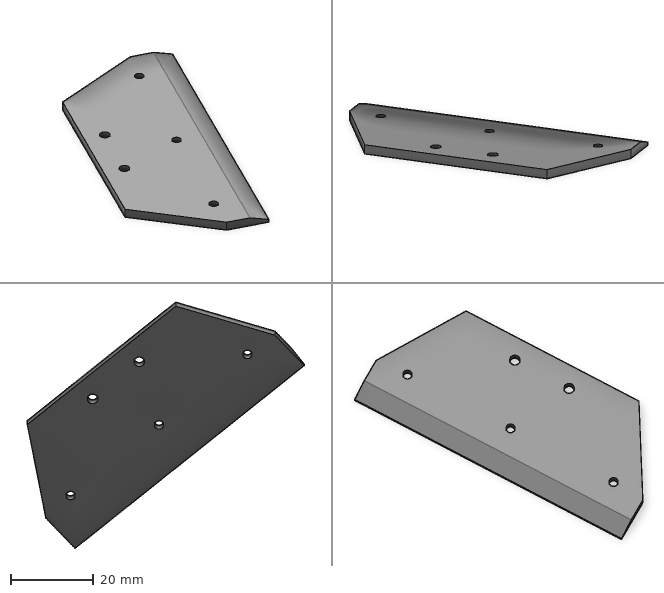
import cadquery as cq

length = 74.0
width = 32.5
thickness = 2.4

front_edge_length = 47.95
corner_cut_depth = 21.7

bevel_width = 4.9
edge_thickness = 0.8

rear_hole_diameter = 2.2
rear_hole_spacing = 28.6
rear_row_offset = 21.2
front_hole_diameter = 2.5
front_hole_spacing = 15.0
front_row_offset = 5.3

front_y = -width / 2
rear_y = width / 2


def make_plate():
    """Flat plate, symmetric about X = 0, tapering toward the front edge."""
    shoulder_y = front_y + corner_cut_depth
    outline = [
        (-front_edge_length / 2, front_y),
        (front_edge_length / 2, front_y),
        (length / 2, shoulder_y),
        (length / 2, rear_y),
        (-length / 2, rear_y),
        (-length / 2, shoulder_y),
    ]
    return cq.Workplane("XY").polyline(outline).close().extrude(thickness)


def make_bevel_cutter():
    """Triangular wedge that slopes the top face down to the rear edge."""
    profile = [
        (rear_y - bevel_width, thickness),
        (rear_y, thickness),
        (rear_y, edge_thickness),
    ]
    return cq.Workplane("YZ").polyline(profile).close().extrude(length / 2, both=True)


def drill_row(plate, count, spacing, row_offset, diameter):
    """Drill a centred row of through holes parallel to the front edge."""
    first_x = -spacing * (count - 1) / 2
    row_y = front_y + row_offset
    centres = [(first_x + i * spacing, row_y) for i in range(count)]
    drills = cq.Workplane("XY").pushPoints(centres).circle(diameter / 2).extrude(thickness)
    return plate.cut(drills)


result = make_plate().cut(make_bevel_cutter())
result = drill_row(result, 3, rear_hole_spacing, rear_row_offset, rear_hole_diameter)
result = drill_row(result, 2, front_hole_spacing, front_row_offset, front_hole_diameter)